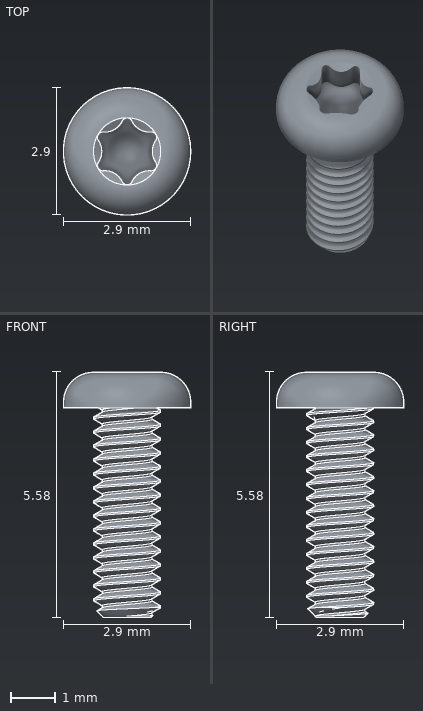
import cadquery as cq
import math

TOTAL_LENGTH = 5.58
HEAD_HEIGHT = 0.815
HEAD_RADIUS = 1.45
HEAD_RIM_HEIGHT = 0.13
SHANK_LENGTH = TOTAL_LENGTH - HEAD_HEIGHT
HEAD_ROUND = HEAD_HEIGHT - HEAD_RIM_HEIGHT

THREAD_RADIUS = 0.765
THREAD_TURNS = 15
PITCH = SHANK_LENGTH / THREAD_TURNS
CREST_WIDTH = PITCH / 8
THREAD_DEPTH = 0.195
ROOT_RADIUS = THREAD_RADIUS - THREAD_DEPTH
FLANK_SLOPE = math.tan(math.radians(30))
CREST_START = 0.245
RIDGE_OVERLAP = 0.01
TIP_RADIUS = 0.535
TIP_CHAMFER = THREAD_RADIUS - TIP_RADIUS

LOBE_COUNT = 6
LOBE_REACH = 0.76
FLUTE_REACH = 0.575
LOBE_TIP_RADIUS = 0.12
RECESS_DEPTH = 0.67
FLOOR_SLOPE = math.radians(45)
COUNTERSINK_RADIUS = HEAD_RADIUS - HEAD_ROUND
COUNTERSINK_DEPTH = 0.115


def polar(radius, angle):
    return radius * math.cos(angle), radius * math.sin(angle)


def make_head():
    """Pan head: a short straight rim under a quarter-round shoulder."""
    disc = cq.Workplane("XY").workplane(offset=SHANK_LENGTH).circle(HEAD_RADIUS).extrude(HEAD_HEIGHT)
    return disc.faces(">Z").edges().fillet(HEAD_ROUND)


def make_shank():
    """Root cylinder with a helical ridge, trimmed by a cylinder with a chamfered tip."""
    start = CREST_START - 2 * PITCH
    base_radius = ROOT_RADIUS - RIDGE_OVERLAP
    crest_half = CREST_WIDTH / 2
    base_half = crest_half + (THREAD_RADIUS - base_radius) * FLANK_SLOPE
    helix = cq.Wire.makeHelix(PITCH, (THREAD_TURNS + 3) * PITCH, base_radius)
    ridge = (
        cq.Workplane("XZ")
        .moveTo(base_radius, -base_half)
        .lineTo(THREAD_RADIUS, -crest_half)
        .lineTo(THREAD_RADIUS, crest_half)
        .lineTo(base_radius, base_half)
        .close()
        .sweep(cq.Workplane(obj=helix), isFrenet=True)
        .translate((0, 0, start))
    )
    envelope = (
        cq.Workplane("XY")
        .circle(THREAD_RADIUS + RIDGE_OVERLAP)
        .extrude(SHANK_LENGTH)
        .faces("<Z")
        .chamfer(TIP_CHAMFER + RIDGE_OVERLAP)
    )
    core = cq.Workplane("XY").circle(ROOT_RADIUS).extrude(SHANK_LENGTH).intersect(envelope)
    return core.union(ridge.intersect(envelope))


def lobe_outline(workplane):
    """Six-lobe outline of tangent arcs, with lobes on the Y axis and a flute on +X."""
    half_step = math.pi / LOBE_COUNT
    lobe_centre = LOBE_REACH - LOBE_TIP_RADIUS
    cosine = math.cos(half_step)
    flute_radius = (
        lobe_centre**2 + FLUTE_REACH**2 - 2 * lobe_centre * FLUTE_REACH * cosine - LOBE_TIP_RADIUS**2
    ) / (2 * (LOBE_TIP_RADIUS - FLUTE_REACH + lobe_centre * cosine))
    flute_centre = FLUTE_REACH + flute_radius
    lobe_x, lobe_y = polar(lobe_centre, half_step)
    share = flute_radius / (flute_radius + LOBE_TIP_RADIUS)
    tangent_x = flute_centre + share * (lobe_x - flute_centre)
    tangent_y = share * lobe_y
    tangent_radius = math.hypot(tangent_x, tangent_y)
    tangent_angle = math.atan2(tangent_y, tangent_x)

    outline = workplane.moveTo(*polar(tangent_radius, -tangent_angle))
    for index in range(LOBE_COUNT):
        flute = 2 * half_step * index
        lobe = flute + half_step
        lobe_end = lobe + half_step - tangent_angle
        outline = outline.threePointArc(
            polar(FLUTE_REACH, flute), polar(tangent_radius, flute + tangent_angle)
        )
        outline = outline.threePointArc(polar(LOBE_REACH, lobe), polar(tangent_radius, lobe_end))
    return outline.close()


def make_recess():
    """Drive recess with a smoothly dished floor and a countersunk mouth."""
    floor_z = TOTAL_LENGTH - RECESS_DEPTH
    arc_width = COUNTERSINK_RADIUS / 2
    arc_radius = arc_width / math.sin(FLOOR_SLOPE)
    arc_drop = arc_radius * (1 - math.cos(FLOOR_SLOPE))
    half_arc_width = arc_radius * math.sin(FLOOR_SLOPE / 2)
    half_arc_drop = arc_radius * (1 - math.cos(FLOOR_SLOPE / 2))
    floor_dip = 2 * arc_drop
    bottom_z = floor_z - floor_dip
    inner_middle = (half_arc_width, bottom_z + half_arc_drop)
    outer_middle = (COUNTERSINK_RADIUS - half_arc_width, floor_z - half_arc_drop)
    prism = lobe_outline(cq.Workplane("XY").workplane(offset=bottom_z)).extrude(RECESS_DEPTH + floor_dip)
    floor_limit = (
        cq.Workplane("XZ")
        .moveTo(0, bottom_z)
        .threePointArc(inner_middle, (arc_width, bottom_z + arc_drop))
        .threePointArc(outer_middle, (COUNTERSINK_RADIUS, floor_z))
        .lineTo(COUNTERSINK_RADIUS, TOTAL_LENGTH)
        .lineTo(0, TOTAL_LENGTH)
        .close()
        .revolve(360, (0, 0, 0), (0, 1, 0))
    )
    countersink = (
        cq.Workplane("XZ")
        .moveTo(0, TOTAL_LENGTH - COUNTERSINK_DEPTH)
        .lineTo(FLUTE_REACH, TOTAL_LENGTH - COUNTERSINK_DEPTH)
        .lineTo(COUNTERSINK_RADIUS, TOTAL_LENGTH)
        .lineTo(0, TOTAL_LENGTH)
        .close()
        .revolve(360, (0, 0, 0), (0, 1, 0))
    )
    return prism.intersect(floor_limit).union(countersink)


result = make_head().union(make_shank()).cut(make_recess())